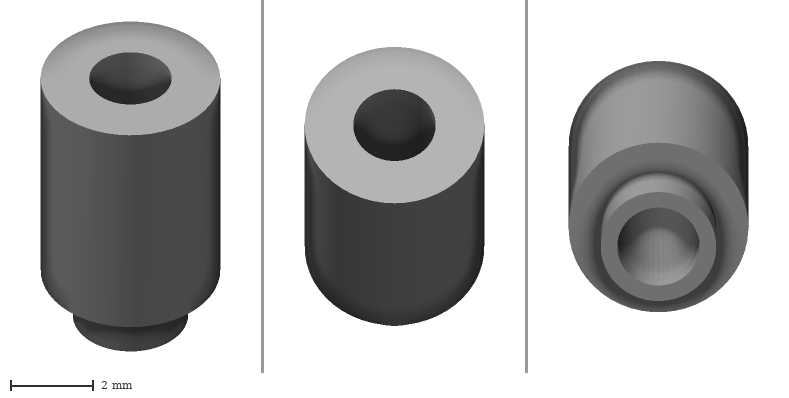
import cadquery as cq

total_height = 7.4
spigot_height = 1.4
body_diameter = 4.35
spigot_diameter = 2.8
bore_diameter = 2.0

body_height = total_height - spigot_height

spigot = cq.Workplane("XY").circle(spigot_diameter / 2).extrude(spigot_height)

spacer = spigot.faces(">Z").workplane().circle(body_diameter / 2).extrude(body_height)

result = spacer.faces(">Z").workplane().hole(bore_diameter)